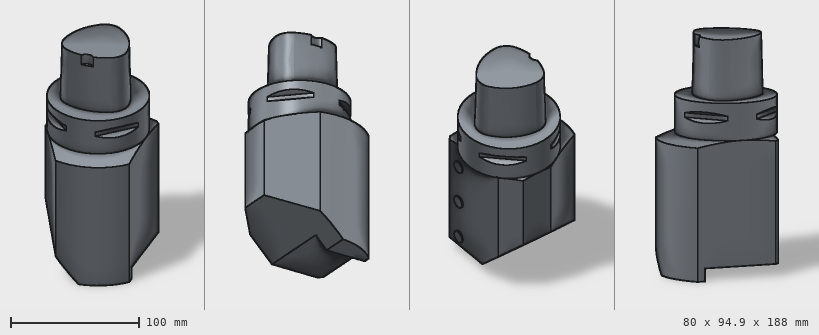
import cadquery as cq
import math


shank_height = 48.1
shank_tip = 29.7
shank_flat = 25.4
lobe_radius = 15.5
taper_ratio = 1 / 40
first_lobe_angle = 90
lobe_count = 3
lobe_spacing = 360 / lobe_count

notch_diameter = 12.0
notch_axis_y = -27.5
notch_height = 8.5

flange_diameter = 80.0
flange_radius = flange_diameter / 2
flange_height = 29.7
groove_floor = 35.5
groove_floor_width = 3.5
groove_middle = -12.0
groove_wall_angle = 30
groove_overrun = 1.9
groove_angles = (45, 135, 225, 315)

total_height = 188
body_bottom = shank_height - total_height
body_side = flange_radius
body_radius = 54.9
body_back = 30.5
side_face_front = -10.3
side_face_back = 16.7
front_bevel_angle = 60
back_chamfer = 3.2
shoulder_angle = 15
slope_start = -95.3
lip_back = -31.4
lip_height = 10.3

stud_diameter = 10.2
stud_height = 1.1
stud_x = 24.3
top_stud = -51.0
stud_pitch = 35.0
stud_count = 3


def polar(radius, angle):
    return (radius * math.cos(math.radians(angle)), radius * math.sin(math.radians(angle)))


def make_shank():
    lobe_offset = shank_tip - lobe_radius
    side_radius = (lobe_radius**2 - lobe_offset**2 - shank_flat**2 + lobe_offset * shank_flat) / (
        lobe_offset - 2 * shank_flat + 2 * lobe_radius
    )
    side_offset = side_radius - shank_flat

    side_x, side_y = polar(-side_offset, lobe_spacing / 2)
    tangent_angle = math.degrees(math.atan2(-side_y, lobe_offset - side_x))
    tangent_x, tangent_y = polar(lobe_radius, tangent_angle)
    tangent_x += lobe_offset
    tangent_distance = math.hypot(tangent_x, tangent_y)
    half_lobe = math.degrees(math.atan2(tangent_y, tangent_x))

    outline = cq.Workplane("XY").moveTo(*polar(tangent_distance, first_lobe_angle - half_lobe))
    for i in range(lobe_count):
        lobe = first_lobe_angle + i * lobe_spacing
        lobe_end = polar(tangent_distance, lobe + half_lobe)
        side_end = polar(tangent_distance, lobe + lobe_spacing - half_lobe)
        outline = outline.threePointArc(polar(shank_tip, lobe), lobe_end)
        outline = outline.threePointArc(polar(shank_flat, lobe + lobe_spacing / 2), side_end)
    shank = outline.close().extrude(shank_height, taper=math.degrees(math.atan(taper_ratio)))

    notch = (
        cq.Workplane("XY", origin=(0, notch_axis_y, shank_height - notch_height))
        .circle(notch_diameter / 2)
        .extrude(notch_height)
    )
    return shank.cut(notch)


def make_flange():
    flange = cq.Workplane("XY").circle(flange_radius).extrude(-flange_height)

    reach = flange_radius + groove_overrun
    half_floor = groove_floor_width / 2
    half_mouth = half_floor + (reach - groove_floor) * math.tan(math.radians(groove_wall_angle))
    groove = (
        cq.Workplane("XZ")
        .polyline([
            (groove_floor, groove_middle - half_floor),
            (reach, groove_middle - half_mouth),
            (reach, groove_middle + half_mouth),
            (groove_floor, groove_middle + half_floor),
        ])
        .close()
        .extrude(flange_radius, both=True)
    )
    for angle in groove_angles:
        flange = flange.cut(groove.rotate((0, 0, 0), (0, 0, 1), angle))
    return flange


def make_body():
    bevel_x, bevel_y = polar(1, -front_bevel_angle)
    along = -body_side * bevel_x + side_face_front * bevel_y
    start_squared = body_side**2 + side_face_front**2
    bevel_length = -along + math.sqrt(along**2 + body_radius**2 - start_squared)
    bevel_end = (-body_side + bevel_length * bevel_x, side_face_front + bevel_length * bevel_y)
    front_right = (body_side, -math.sqrt(body_radius**2 - body_side**2))

    body = (
        cq.Workplane("XY")
        .workplane(offset=body_bottom)
        .moveTo(-body_side, side_face_front)
        .lineTo(*bevel_end)
        .threePointArc((0, -body_radius), front_right)
        .lineTo(body_side, body_back - back_chamfer)
        .lineTo(body_side - back_chamfer, body_back)
        .lineTo(-body_side + body_back - side_face_back, body_back)
        .lineTo(-body_side, side_face_back)
        .close()
        .extrude(-flange_height - body_bottom)
    )

    shoulder_drop = (body_radius - flange_radius) * math.tan(math.radians(shoulder_angle))
    envelope = (
        cq.Workplane("XZ")
        .moveTo(0, body_bottom)
        .lineTo(body_radius, body_bottom)
        .lineTo(body_radius, -flange_height - shoulder_drop)
        .lineTo(flange_radius, -flange_height)
        .lineTo(0, -flange_height)
        .close()
        .revolve(360, (0, 0, 0), (0, 1, 0))
    )
    body = body.intersect(envelope)

    slope_run = slope_start - body_bottom
    slope = (
        cq.Workplane("XZ")
        .polyline([
            (-body_side, slope_start),
            (-body_side, body_bottom),
            (-body_side + slope_run, body_bottom),
        ])
        .close()
        .extrude(body_radius, both=True)
    )

    step = cq.Workplane("XY").box(
        2 * body_side, body_back - lip_back, lip_height, centered=(True, False, False)
    ).translate((0, lip_back, body_bottom))
    return body.cut(slope).cut(step)


def make_studs():
    positions = [(stud_x, top_stud - i * stud_pitch) for i in range(stud_count)]
    return (
        cq.Workplane("XZ", origin=(0, body_back, 0))
        .pushPoints(positions)
        .circle(stud_diameter / 2)
        .extrude(-stud_height)
    )


result = make_shank().union(make_flange()).union(make_body()).union(make_studs())